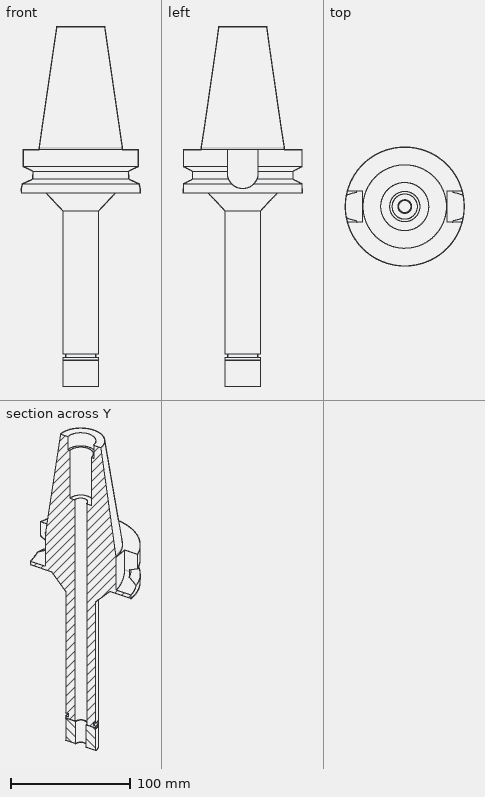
import cadquery as cq

total_height = 301.8
nut_height = 22.0
nut_chamfer = 0.3
collar_top = 24.5
neck_top = 27.2
shank_top = 147.3
flange_bottom = 162.0
lower_rim_top = 170.0
groove_bottom = 173.8
groove_top = 180.5
upper_rim_bottom = 184.5
flange_top = 198.5
gauge_plane = 200.0

shank_radius = 15.0
neck_radius = 12.7
cone_radius = 29.0
flange_radius = 100.0 / 2
groove_radius = 42.3
taper_slope = 7 / 48
taper_large_radius = 35.0
taper_small_radius = taper_large_radius - taper_slope * (total_height - gauge_plane)

slot_width = 26.0
slot_floor_distance = 35.3
slot_end_z = 166.0

counterbore_radius = 12.7
counterbore_depth = 13.0
thread_bore_radius = 10.5
thread_bore_depth = 60.5
coolant_bore_radius = 5.7
nut_bore_radius = 5.0


def make_holder_blank():
    """Solid of revolution: collar, neck, shank, cone, grooved flange and taper."""
    profile = [
        (0, nut_height),
        (shank_radius, nut_height),
        (shank_radius, collar_top),
        (neck_radius, collar_top),
        (neck_radius, neck_top),
        (shank_radius, neck_top),
        (shank_radius, shank_top),
        (cone_radius, flange_bottom),
        (flange_radius, flange_bottom),
        (flange_radius, lower_rim_top),
        (groove_radius, groove_bottom),
        (groove_radius, groove_top),
        (flange_radius, upper_rim_bottom),
        (flange_radius, flange_top),
        (taper_large_radius, flange_top),
        (taper_large_radius, gauge_plane),
        (taper_small_radius, total_height),
        (0, total_height),
    ]
    return cq.Workplane("XZ").polyline(profile).close().revolve(360, (0, 0, 0), (0, 1, 0))


def make_drive_slot(side):
    """Round-ended slot cutter, open at the flange top; side is +1 or -1 along X."""
    half_width = slot_width / 2
    arc_center_z = slot_end_z + half_width
    depth = flange_radius - slot_floor_distance
    return (
        cq.Workplane("YZ", origin=(side * slot_floor_distance, 0, 0))
        .moveTo(-half_width, flange_top)
        .lineTo(-half_width, arc_center_z)
        .threePointArc((0, slot_end_z), (half_width, arc_center_z))
        .lineTo(half_width, flange_top)
        .close()
        .extrude(side * depth)
    )


def make_bore(radius, bottom, top):
    """Cylinder on the tool axis between two heights."""
    return cq.Workplane("XY", origin=(0, 0, bottom)).circle(radius).extrude(top - bottom)


def make_holder():
    holder = make_holder_blank()
    for side in (-1, 1):
        holder = holder.cut(make_drive_slot(side))
    holder = holder.cut(make_bore(counterbore_radius, total_height - counterbore_depth, total_height))
    holder = holder.cut(make_bore(thread_bore_radius, total_height - thread_bore_depth, total_height))
    return holder.cut(make_bore(coolant_bore_radius, nut_height, total_height))


def make_nut():
    """Clamping nut seated against the end of the holder, with its upper outer edge broken."""
    body = cq.Workplane("XY").circle(shank_radius).extrude(nut_height)
    body = body.faces(">Z").chamfer(nut_chamfer)
    return body.cut(make_bore(nut_bore_radius, 0, nut_height))


holder = make_holder()
nut = make_nut()

result = cq.Compound.makeCompound([holder.val(), nut.val()])